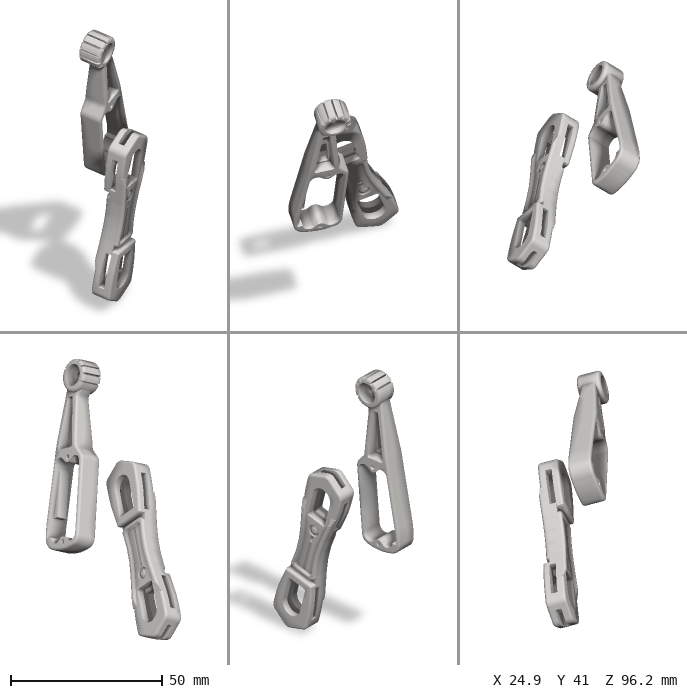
import cadquery as cq
import math


HANDLE_HALF_WIDTH = 3.99
HANDLE_EDGE_RADIUS = 0.9
NECK_HALF_WIDTH = 2.1
ARM_FOOT_Z = -22.1
ARM_FOOT_RADIUS = 14.4
ARM_WEB_HALF = 1.0
ARM_POCKET_DRAFT = 15.0
ARM_WINDOW_RADIUS = 0.6
DRUM_RADIUS = 5.6
DRUM_EDGE_RADIUS = 1.1
CUP_RADIUS = 3.7
CUP_DEPTH = 2.4
CUP_FILLET = 1.1
AXLE_HOLE_DIA = 2.0
NOTCH_COUNT = 7
NOTCH_PITCH = 30.0
NOTCH_FIRST = -35.0
NOTCH_WIDTH = 0.7
NOTCH_DEPTH = 1.25
SCREW_HOLE_DIA = 1.7
SCREW_BOSS_RADIUS = 1.7
TOP_SCREW = (2.65, -27.5)
BOTTOM_SCREW = (5.3, -55.9)
RAIL_HALF_WIDTH = 1.9

CLIP_CENTRE = (16.3, -12.46, -59.1)
CLIP_TILT = 14.5
LOOP_HALF = 7.65
TIP_U = 32.6
PLATE = 2.55
RIM_TOP = 3.415
TONGUE = 2.1
SLOT = 2.2
LEAF_OUTER = 4.57
CLIP_EDGE_RADIUS = 0.9
LEAF_END_U = 10.7
LEAF_CORNER = 2.9
RIM_START_U = -10.0
RIM_CORNER = 2.4
RIM_START_HALF = 5.6
POCKET_START_U = -8.6
POCKET_INSET = 1.25
POCKET_CORNER = 1.4
POCKET_CHAMFER = 0.6
RAMP_START_U = 15.4
RAMP_END_U = 18.8
TONGUE_END_U = -12.1
TAB_END_U = -14.6
TAB_HALF = 2.8
TAB_RADIUS = 0.8
WINDOW_HALF = 3.8
WINDOW_START_U = 13.3
WINDOW_ARC_U = 23.1
WINDOW_CORNER = 0.8
SPACER_U = 25.0
SPACER_HALF_GAP = 5.0
BUTTON_U = 8.9
BUTTON_DIA = 3.5
BUTTON_TOP_DIA = 1.4
BUTTON_RING_DIA = 4.3
BUTTON_RING_DEPTH = 0.5
GROOVE_WIDTH = 1.25
GROOVE_DEPTH = 0.3
GROOVE_END_U = 3.8
DIP_START_U = 4.1
DIP_END_U = 6.7
DIP_WIDTH = 1.1
DIP_DEPTH = 0.6


def rounded_outline(plane, offset, corners):
    """Closed outline through corners (across, up, radius); a radius of 0 leaves a corner sharp."""
    sketch = cq.Workplane(plane).workplane(offset=offset)
    count = len(corners)
    started = False
    for i, (y, z, radius) in enumerate(corners):
        corner = cq.Vector(y, z)
        before = cq.Vector(*corners[i - 1][:2]) - corner
        after = cq.Vector(*corners[(i + 1) % count][:2]) - corner
        half_angle = before.getAngle(after) / 2
        reach = radius / math.tan(half_angle)
        to_arc = radius / math.sin(half_angle) - radius
        entry = corner + before.normalized() * reach
        leave = corner + after.normalized() * reach
        middle = corner + (before.normalized() + after.normalized()).normalized() * to_arc
        sketch = sketch.lineTo(entry.x, entry.y) if started else sketch.moveTo(entry.x, entry.y)
        started = True
        if radius:
            sketch = sketch.threePointArc((middle.x, middle.y), (leave.x, leave.y))
    return sketch.close()


def handle_blank():
    """Outer shape of the frame and the tapering arm, with rounded edges."""
    corners = [
        (4.6, -1.0, 0),
        (14.1, -49.3, 28.9),
        (14.4, -56.8, 4.8),
        (5.1, -58.9, 17.3),
        (-2.2, -57.4, 3.4),
        (-4.7, -28.3, 2.9),
        (-1.3, -24.2, 2.9),
        (-0.6, -6.9, 1.9),
        (-3.4, -4.0, 0),
        (-1.0, -1.0, 0),
    ]
    outline = rounded_outline("YZ", -HANDLE_HALF_WIDTH, corners).extrude(2 * HANDLE_HALF_WIDTH)
    half_front = [
        (NECK_HALF_WIDTH, 0, 0),
        (HANDLE_HALF_WIDTH, ARM_FOOT_Z, ARM_FOOT_RADIUS),
        (HANDLE_HALF_WIDTH, -67.3, 0),
    ]
    other_half = [(-x, z, radius) for x, z, radius in reversed(half_front)]
    front = rounded_outline("XZ", 0, half_front + other_half)
    taper = front.extrude(28.9, both=True)
    blank = outline.intersect(taper)
    return blank.edges("not(|X or |Y or >Z)").fillet(HANDLE_EDGE_RADIUS)


def frame_opening():
    """Opening of the frame, running round a screw boss at its top and at its bottom."""
    r = SCREW_BOSS_RADIUS
    ty, tz = TOP_SCREW
    by, bz = BOTTOM_SCREW
    flank = r * math.sqrt(0.5)
    return (
        cq.Workplane("YZ", origin=(-HANDLE_HALF_WIDTH, 0, 0))
        .moveTo(8.9, -28.9)
        .threePointArc((6.8, -26.9), (5.0, -27.7))
        .lineTo(ty + flank, tz - flank)
        .threePointArc((ty, tz - r), (ty - flank, tz - flank))
        .lineTo(0.3, -27.9)
        .threePointArc((-1.8, -27.8), (-3.4, -29.8))
        .lineTo(-1.3, -53.7)
        .threePointArc((0.2, -56.1), (2.5, -56.1))
        .lineTo(by - flank, bz + flank)
        .threePointArc((by, bz + r), (by + flank, bz + flank))
        .lineTo(7.7, -55.7)
        .threePointArc((10.2, -55.4), (11.35, -53.2))
        .lineTo(13.1, -53.2)
        .threePointArc((13.0, -50.0), (12.4, -46.9))
        .close()
        .extrude(2 * HANDLE_HALF_WIDTH)
    )


def frame_rail():
    """Wedge-shaped rail on the inside of the long frame wall."""
    return (
        cq.Workplane("YZ", origin=(-RAIL_HALF_WIDTH, 0, 0))
        .polyline([(9.1, -29.8), (8.9, -31.7), (10.3, -46.2), (12.7, -46.2), (10.1, -30.8)])
        .close()
        .extrude(2 * RAIL_HALF_WIDTH)
    )


def arm_pocket():
    """Drafted pocket on the +X side of the arm, from the web outwards."""
    return (
        cq.Workplane("YZ", origin=(ARM_WEB_HALF, 0, 0))
        .polyline([(3.6, -7.0), (6.5, -23.4), (1.2, -23.6), (2.0, -7.0)])
        .close()
        .extrude(HANDLE_HALF_WIDTH - ARM_WEB_HALF, taper=-ARM_POCKET_DRAFT)
    )


def arm_window():
    """Opening through the web of the arm."""
    return (
        cq.Workplane("YZ")
        .polyline([(4.1, -12.8), (5.7, -22.8), (1.8, -22.8), (2.2, -12.8)])
        .close()
        .extrude(ARM_WEB_HALF, both=True)
        .edges("|X")
        .fillet(ARM_WINDOW_RADIUS)
    )


def drum():
    """Drum at the end of the arm, with notches over part of its rim."""
    body = cq.Workplane("YZ").circle(DRUM_RADIUS).extrude(HANDLE_HALF_WIDTH, both=True)
    body = body.edges("%CIRCLE").fillet(DRUM_EDGE_RADIUS)
    notch = cq.Workplane("XY").box(
        2 * HANDLE_HALF_WIDTH, 2 * NOTCH_DEPTH, NOTCH_WIDTH
    ).translate((0, -DRUM_RADIUS, 0))
    for i in range(NOTCH_COUNT):
        angle = NOTCH_FIRST + i * NOTCH_PITCH
        body = body.cut(notch.rotate((0, 0, 0), (1, 0, 0), -angle))
    return body


def drum_cup():
    """Round-bottomed recess on the +X side of the drum."""
    cup = cq.Workplane("YZ", origin=(HANDLE_HALF_WIDTH - CUP_DEPTH, 0, 0))
    return cup.circle(CUP_RADIUS).extrude(CUP_DEPTH).edges("<X").fillet(CUP_FILLET)


def cross_hole(diameter, centre):
    """Round hole through the full width of the handle."""
    hole = cq.Workplane("YZ").center(*centre).circle(diameter / 2)
    return hole.extrude(HANDLE_HALF_WIDTH, both=True)


def make_handle():
    """Frame, arm and drum as one solid."""
    body = handle_blank().cut(frame_opening()).union(frame_rail()).cut(arm_window())
    body = body.cut(arm_pocket()).cut(arm_pocket().mirror("YZ"))
    body = body.union(drum())
    body = body.cut(drum_cup()).cut(drum_cup().mirror("YZ"))
    body = body.cut(cross_hole(AXLE_HOLE_DIA, (0, 0)))
    for screw in (TOP_SCREW, BOTTOM_SCREW):
        body = body.cut(cross_hole(SCREW_HOLE_DIA, screw))
    return body


def clip_outline(x):
    """Hourglass outline of the clip at height x, with a blunt point at each end."""
    waist = (3.99, 0, 42.3)
    bulge = (LOOP_HALF, 20.4, 43.3)
    shoulder = (LOOP_HALF, 28.6, 2.4)
    tip = (0, 32.9, 2.9)
    side = [waist, bulge, shoulder]
    top_left = [(-y, z, r) for y, z, r in reversed(side)]
    bottom_left = [(-y, -z, r) for y, z, r in side[1:]]
    bottom_right = [(y, -z, r) for y, z, r in reversed(side[1:])]
    bottom_tip = (0, -tip[1], tip[2])
    return rounded_outline("YZ", x, [*side, tip, *top_left, *bottom_left, bottom_tip, *bottom_right])


def block(x0, x1, half_width, u0, u1):
    """Box between two heights x, centred across the clip, between two places along it."""
    size = (x1 - x0, 2 * half_width, u1 - u0)
    return cq.Workplane("XY").box(*size, centered=(False, True, False)).translate((x0, 0, u0))


def rim_body():
    """Thick middle of the half: round start under the hook of the other half, ramp at the loop."""
    rounded = block(0, RIM_TOP, RIM_START_HALF, RIM_START_U, 0).edges("|X and <Z").fillet(RIM_CORNER)
    limits = rounded.union(block(0, RIM_TOP, LOOP_HALF, -1.9, RAMP_END_U))
    body = clip_outline(0).extrude(RIM_TOP).intersect(limits)
    body = body.faces(">X").edges("not >Z").fillet(CLIP_EDGE_RADIUS)
    ramp = (
        cq.Workplane("XZ")
        .polyline([(RIM_TOP, RAMP_START_U), (RIM_TOP, RAMP_END_U), (PLATE, RAMP_END_U)])
        .close()
        .extrude(LOOP_HALF, both=True)
    )
    return body.cut(ramp)


def rim_pocket():
    """Pocket with sloping sides between the rims; its floor runs level into the plate."""
    depth = RIM_TOP - PLATE
    limits = block(PLATE, RIM_TOP, LOOP_HALF, POCKET_START_U, RAMP_END_U + 1)
    shape = clip_outline(PLATE).offset2D(-POCKET_INSET).extrude(depth)
    shape = shape.intersect(limits).edges("|X and <Z").fillet(POCKET_CORNER)
    return shape.faces("<X").edges().chamfer(POCKET_CHAMFER)


def plate_and_tongue():
    """Plate with the loop, the thin tongue at the other end and the tab on the tongue."""
    plate = clip_outline(0).extrude(PLATE).faces(">X").edges().fillet(CLIP_EDGE_RADIUS)
    plate = plate.intersect(block(0, PLATE, LOOP_HALF, 0, TIP_U))
    tongue = clip_outline(0).extrude(TONGUE)
    tongue = tongue.intersect(block(0, TONGUE, LOOP_HALF, TONGUE_END_U, 0))
    tab = block(0, TONGUE, TAB_HALF, TAB_END_U, 0).edges("<Z and |Y").fillet(TAB_RADIUS)
    return plate.union(tongue).union(tab)


def hook_leaf():
    """Leaf of the hook and the two spacers that join it to the plate."""
    limits = block(-LEAF_OUTER, 0, LOOP_HALF, LEAF_END_U, TIP_U).edges("|X and <Z").fillet(LEAF_CORNER)
    leaf = clip_outline(-LEAF_OUTER).extrude(LEAF_OUTER).intersect(limits)
    leaf = leaf.faces("<X").edges().fillet(CLIP_EDGE_RADIUS)
    leaf = leaf.cut(block(-SLOT, 0, LOOP_HALF, LEAF_END_U, SPACER_U))
    return leaf.cut(block(-SLOT, 0, SPACER_HALF_GAP, SPACER_U, TIP_U))


def loop_window():
    """Opening through the plate and the leaf, with a round outer end."""
    straight = block(-LEAF_OUTER, PLATE, WINDOW_HALF, WINDOW_START_U, WINDOW_ARC_U)
    straight = straight.edges("|X and <Z").fillet(WINDOW_CORNER)
    arc = cq.Workplane("YZ", origin=(-LEAF_OUTER, 0, 0)).center(0, WINDOW_ARC_U)
    return straight.union(arc.circle(WINDOW_HALF).extrude(LEAF_OUTER + PLATE))


def button_ring():
    """V-shaped ring cut into the pocket floor that leaves a cone-shaped button in its middle."""
    floor = PLATE - BUTTON_RING_DEPTH
    profile = [
        (PLATE, BUTTON_RING_DIA / 2),
        (floor, BUTTON_DIA / 2),
        (PLATE, BUTTON_TOP_DIA / 2),
    ]
    ring = cq.Workplane("XY").polyline(profile).close()
    return ring.revolve(360, (0, 0, 0), (1, 0, 0)).translate((0, 0, BUTTON_U))


def floor_groove():
    """Shallow groove along the pocket floor and the V-shaped dip between it and the button."""
    groove = block(PLATE - GROOVE_DEPTH, PLATE, GROOVE_WIDTH / 2, POCKET_START_U, GROOVE_END_U)
    bottom = (PLATE - DIP_DEPTH, (DIP_START_U + DIP_END_U) / 2)
    dip = (
        cq.Workplane("XZ")
        .polyline([(PLATE, DIP_START_U), bottom, (PLATE, DIP_END_U)])
        .close()
        .extrude(DIP_WIDTH / 2, both=True)
    )
    return groove.union(dip)


def make_clip_half():
    """One half of the clip, with its hook at +Z, in the clip's own frame."""
    body = plate_and_tongue().union(rim_body()).cut(rim_pocket())
    body = body.union(hook_leaf()).cut(loop_window())
    return body.cut(button_ring()).cut(floor_groove())


handle = make_handle()

clip_halves = []
for turn in (0, 180):
    half = make_clip_half().rotate((0, 0, 0), (0, 1, 0), turn)
    half = half.rotate((0, 0, 0), (1, 0, 0), -CLIP_TILT).translate(CLIP_CENTRE)
    clip_halves.append(half)

result = cq.Compound.makeCompound([handle.val(), *[half.val() for half in clip_halves]])